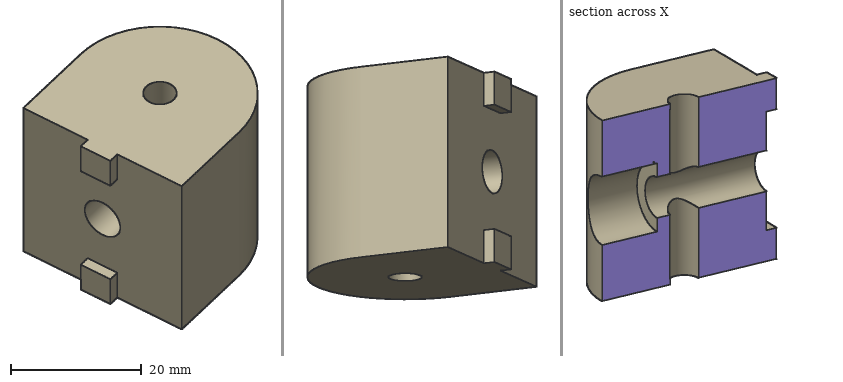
import cadquery as cq

width = 30.0
height = width
back_radius = width / 2
total_length = 31.8
key_depth = total_length - width
front_y = -back_radius

key_width = 5.6
key_height = 5.2

vertical_bore = 5.12
cross_bore = 6.7
counterbore = 11.25
counterbore_depth = 10.0


def make_body():
    """Block with a flat front and a rounded back, centred on the vertical bore."""
    return (
        cq.Workplane("XY", origin=(0, 0, -height / 2))
        .moveTo(-back_radius, front_y)
        .lineTo(back_radius, front_y)
        .lineTo(back_radius, 0)
        .threePointArc((0, back_radius), (-back_radius, 0))
        .close()
        .extrude(height)
    )


def make_key(side):
    """Key at the top (side = 1) or bottom (side = -1) of the front face."""
    center_z = side * (height - key_height) / 2
    return (
        cq.Workplane("XZ", origin=(0, front_y, center_z))
        .rect(key_width, key_height)
        .extrude(key_depth)
    )


def make_bores():
    """Vertical through bore and a front-to-back bore counterbored from the back."""
    vertical = cq.Workplane("XY").circle(vertical_bore / 2).extrude(height, both=True)
    cross = cq.Workplane("XZ").circle(cross_bore / 2).extrude(width, both=True)
    recess = (
        cq.Workplane("XZ", origin=(0, back_radius, 0))
        .circle(counterbore / 2)
        .extrude(counterbore_depth)
    )
    return vertical.union(cross).union(recess)


result = make_body()
for side in (-1, 1):
    result = result.union(make_key(side))
result = result.cut(make_bores())